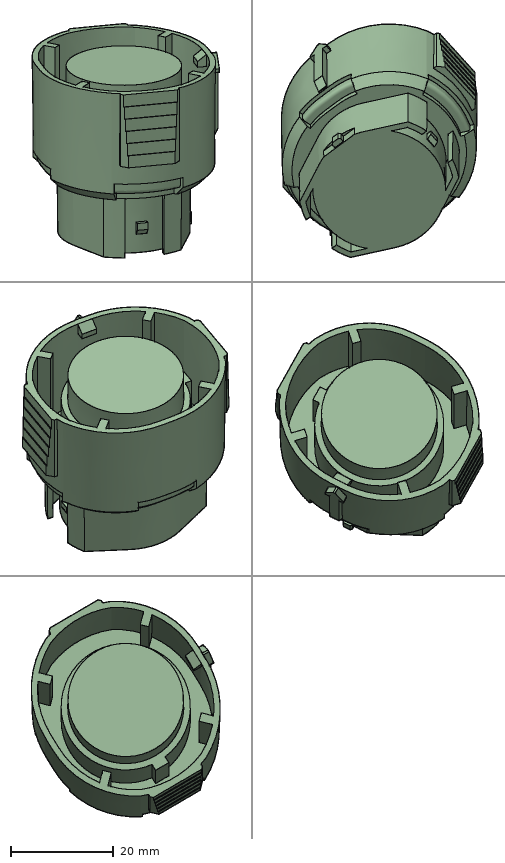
import cadquery as cq
import math

TOTAL_H = 35.7
FLANGE_Z = 12.75
FLOOR_Z = 15.2
DRAFT = 0.5

END_R = 19.7
SIDE_Y = 17.55
FLAT_HALF = 1.55
JOIN_Y = 7.5
JOIN_X = math.sqrt(END_R**2 - JOIN_Y**2)
WALL = 1.25
SKIRT_CHAMFER = 1.95

WINDOW_TOP = 16.73
LIP_Z = 14.3
LIP_INSET = 0.95
RECESS_INSET = 2.85
LIP_ROUND = 0.75
END_WINDOW_HALF = 7.0
END_WINDOW_DIST = 18.13
END_WINDOW_SLOPE = 0.5
SIDE_WINDOW_HALF = 6.55
SIDE_WINDOW_DIST = 16.65
SIDE_WINDOW_SLOPE = 0.25

PAD_BOTTOM = 20.7
PAD_STEPS = 6
PAD_TOP_X = 19.75
PAD_BOTTOM_X = 20.55
PAD_HALF = 5.95
PAD_SHOULDER_X = 19.3
PAD_ROOT_X = 18.1

RIB_INNER_R = 15.05
RIB_OUTER_R = 17.88
RIB_W = 1.73
TUBE_R = 12.65
TUBE_TOP = 27.9
KEY_X = 13.95
KEY_W = 3.0
PLUG_R = 11.4
PLUG_TOP = 34.4
HOOK_W = 3.25
HOOK_Y = 14.55
HOOK_NOSE_TOP = 34.4
HOOK_BOTTOM = 33.2

ARROW_Y = 18.85
ARROW_TIP_Z = 35.3
ARROW_TIP_HALF = 0.2
ARROW_HEAD_HALF = 2.05
ARROW_SHOULDER_Z = 32.6
ARROW_BARB_Z = 31.9
SHAFT_HALF = 1.03
SHAFT_KINK_Z = 19.9
SHAFT_END_Z = 17.4

CORE_R = 13.1
WING_R = 15.9
WING_ANGLE = 25.6
WING_WALL = 1.15
GAP_HALF = 4.0

CATCH_X = 13.95
CATCH_W = 2.15
CATCH_BOTTOM = 3.9
CATCH_KINK = 5.0
CATCH_TOP = 6.45
TAB_Y = 13.55
TAB_W = 2.15
TAB_BOTTOM = 0.4
TAB_TOP = 2.8
TAB_CHAMFER = 0.35
TAB_SEAT_Y = 12.4

EMBED = 0.82
TALL = 82.2


def box_between(x0, x1, y0, y1, z0, z1):
    corner = cq.Workplane("XY", origin=(x0, y0, z0))
    return corner.box(x1 - x0, y1 - y0, z1 - z0, centered=False)


def with_opposite(feature):
    """The feature together with its copy half a turn about the axis."""
    return feature.union(feature.rotate((0, 0, 0), (0, 0, 1), 180))


def cup_outline(inset, z):
    """Oval outline of the cup, moved inward by inset, as a wire at height z."""
    dx = JOIN_X - FLAT_HALF
    dy = SIDE_Y - JOIN_Y
    side_r = (dx**2 + dy**2) / (2 * dy)
    side_centre_y = SIDE_Y - side_r
    half_turn = math.asin(dx / side_r) / 2
    mid_x = FLAT_HALF + side_r * math.sin(half_turn)
    mid_y = side_centre_y + side_r * math.cos(half_turn)
    outline = (
        cq.Workplane("XY", origin=(0, 0, z))
        .moveTo(-FLAT_HALF, SIDE_Y)
        .lineTo(FLAT_HALF, SIDE_Y)
        .threePointArc((mid_x, mid_y), (JOIN_X, JOIN_Y))
        .threePointArc((END_R, 0), (JOIN_X, -JOIN_Y))
        .threePointArc((mid_x, -mid_y), (FLAT_HALF, -SIDE_Y))
        .lineTo(-FLAT_HALF, -SIDE_Y)
        .threePointArc((-mid_x, -mid_y), (-JOIN_X, -JOIN_Y))
        .threePointArc((-END_R, 0), (-JOIN_X, JOIN_Y))
        .threePointArc((-mid_x, mid_y), (-FLAT_HALF, SIDE_Y))
        .close()
    )
    return outline.offset2D(-inset) if inset else outline


def cup_body():
    """Drafted wall with a 45 degree skirt below it."""
    skirt_top = FLANGE_Z + SKIRT_CHAMFER
    wall_h = TOTAL_H - skirt_top
    wall = cup_outline(0, TOTAL_H).extrude(-wall_h, taper=DRAFT)
    drafted_inset = wall_h * math.tan(math.radians(DRAFT))
    skirt = cup_outline(drafted_inset, skirt_top).extrude(-SKIRT_CHAMFER, taper=45)
    return wall.union(skirt)


def cup_cavity():
    return cup_outline(WALL, TOTAL_H).extrude(FLOOR_Z - TOTAL_H, taper=DRAFT)


def window_wedge(half_width, distance, slope):
    """Wedge widening towards +X; half_width is measured at distance from the axis."""
    inner = distance - half_width / slope
    outer = END_R + EMBED
    outer_half = (outer - inner) * slope
    return (
        cq.Workplane("XY", origin=(0, 0, FLANGE_Z))
        .polyline([(inner, 0), (outer, -outer_half), (outer, outer_half)])
        .close()
        .extrude(WINDOW_TOP - FLANGE_Z)
    )


def windows():
    """Material removed from the lower edge of the cup, leaving a rounded lip."""
    end_wedge = window_wedge(END_WINDOW_HALF, END_WINDOW_DIST, END_WINDOW_SLOPE)
    side_wedge = window_wedge(SIDE_WINDOW_HALF, SIDE_WINDOW_DIST, SIDE_WINDOW_SLOPE)
    wedges = with_opposite(end_wedge).union(with_opposite(side_wedge).rotate((0, 0, 0), (0, 0, 1), 90))
    lip = cup_outline(LIP_INSET, LIP_Z).extrude(TOTAL_H - LIP_Z)
    lip = lip.faces("<Z").edges().fillet(LIP_ROUND)
    recess = cup_outline(RECESS_INSET, FLANGE_Z).extrude(TOTAL_H - FLANGE_Z)
    return wedges.cut(lip).cut(recess)


def grip_pad():
    """Pad on +X built from steps that stand out further towards the bottom."""
    step_h = (TOTAL_H - PAD_BOTTOM) / PAD_STEPS
    step_x = (PAD_BOTTOM_X - PAD_TOP_X) / (PAD_STEPS - 1)
    pad = cq.Workplane("XY")
    for i in range(PAD_STEPS):
        face_x = PAD_BOTTOM_X - i * step_x
        face_half = PAD_HALF - (face_x - PAD_SHOULDER_X)
        step = (
            cq.Workplane("XY", origin=(0, 0, PAD_BOTTOM + i * step_h))
            .polyline([
                (PAD_ROOT_X, -PAD_HALF),
                (PAD_SHOULDER_X, -PAD_HALF),
                (face_x, -face_half),
                (face_x, face_half),
                (PAD_SHOULDER_X, PAD_HALF),
                (PAD_ROOT_X, PAD_HALF),
            ])
            .close()
            .extrude(step_h)
        )
        pad = pad.union(step)
    return pad


def inner_ribs():
    ribs = cq.Workplane("XY")
    rib = box_between(RIB_INNER_R, RIB_OUTER_R, -RIB_W / 2, RIB_W / 2, FLOOR_Z, TOTAL_H)
    for angle in (45, 135, 225, 315):
        ribs = ribs.union(rib.rotate((0, 0, 0), (0, 0, 1), angle))
    return ribs


def centre_post():
    """Keyed tube with a round plug standing out of it."""
    base_z = FLOOR_Z - EMBED
    tube = cq.Workplane("XY", origin=(0, 0, base_z)).circle(TUBE_R).extrude(TUBE_TOP - base_z)
    key = box_between(0, KEY_X, -KEY_W / 2, KEY_W / 2, base_z, TUBE_TOP)
    plug = (
        cq.Workplane("XY", origin=(0, 0, TUBE_TOP))
        .circle(PLUG_R)
        .extrude(PLUG_TOP - TUBE_TOP, taper=DRAFT)
    )
    return tube.union(key).union(plug)


def hook():
    """Snap hook under the rim on the inner +Y wall."""
    wall_y = SIDE_Y - WALL
    return (
        cq.Workplane("YZ")
        .polyline([
            (wall_y, TOTAL_H),
            (HOOK_Y, HOOK_NOSE_TOP),
            (HOOK_Y, HOOK_BOTTOM),
            (wall_y + EMBED, HOOK_BOTTOM),
            (wall_y + EMBED, TOTAL_H),
        ])
        .close()
        .extrude(HOOK_W / 2, both=True)
    )


def arrow():
    """Raised upward arrow on the outer +Y wall."""
    half = [
        (ARROW_TIP_HALF, ARROW_TIP_Z),
        (ARROW_HEAD_HALF, ARROW_SHOULDER_Z),
        (ARROW_HEAD_HALF, ARROW_BARB_Z),
        (SHAFT_HALF, ARROW_BARB_Z),
        (SHAFT_HALF, SHAFT_END_Z),
    ]
    mirrored = [(-x, z) for x, z in reversed(half)]
    back_y = SIDE_Y - EMBED
    plate = (
        cq.Workplane("XZ", origin=(0, back_y, 0))
        .polyline(half + mirrored)
        .close()
        .extrude(back_y - ARROW_Y)
    )
    slope_dy = ARROW_Y - SIDE_Y
    slope_dz = SHAFT_KINK_Z - SHAFT_END_Z
    lower_end = (
        cq.Workplane("YZ")
        .polyline([
            (ARROW_Y, SHAFT_KINK_Z),
            (ARROW_Y, SHAFT_END_Z - slope_dz),
            (SIDE_Y - slope_dy, SHAFT_END_Z - slope_dz),
        ])
        .close()
        .extrude(ARROW_HEAD_HALF, both=True)
    )
    return plate.cut(lower_end)


def wing_block(inset):
    """Drafted block with an arc of the core radius on each +-Y side, an arc of the wing radius
    on each +-X side and flats tangent to the core between them, all moved inward by inset."""
    core_r = CORE_R - inset
    wing_r = WING_R - inset
    tangent_angle = math.radians(90 - WING_ANGLE)
    corner_angle = tangent_angle - math.acos(core_r / wing_r)
    tangent_x = core_r * math.cos(tangent_angle)
    tangent_y = core_r * math.sin(tangent_angle)
    corner_x = wing_r * math.cos(corner_angle)
    corner_y = wing_r * math.sin(corner_angle)
    return (
        cq.Workplane("XY", origin=(0, 0, FLANGE_Z))
        .moveTo(-tangent_x, tangent_y)
        .threePointArc((0, core_r), (tangent_x, tangent_y))
        .lineTo(corner_x, corner_y)
        .threePointArc((wing_r, 0), (corner_x, -corner_y))
        .lineTo(tangent_x, -tangent_y)
        .threePointArc((0, -core_r), (-tangent_x, -tangent_y))
        .lineTo(-corner_x, -corner_y)
        .threePointArc((-wing_r, 0), (-corner_x, corner_y))
        .close()
        .extrude(-FLANGE_Z, taper=DRAFT)
    )


def spigot():
    core = cq.Workplane("XY", origin=(0, 0, FLANGE_Z)).circle(CORE_R).extrude(-FLANGE_Z, taper=DRAFT)
    gaps = box_between(-TALL, TALL, -GAP_HALF, GAP_HALF, 0, FLANGE_Z)
    wings = wing_block(0).cut(wing_block(WING_WALL)).cut(gaps)
    root = cq.Workplane("XY", origin=(0, 0, FLANGE_Z)).circle(CORE_R).extrude(EMBED)
    return core.union(wings).union(root)


def side_catch():
    """Catch on +X in the wing opening, sloped on its underside."""
    root_x = CORE_R - EMBED
    slope_x = CORE_R
    return (
        cq.Workplane("XZ")
        .polyline([
            (root_x, CATCH_TOP),
            (CATCH_X, CATCH_TOP),
            (CATCH_X, CATCH_KINK),
            (slope_x, CATCH_BOTTOM),
            (root_x, CATCH_BOTTOM),
        ])
        .close()
        .extrude(CATCH_W / 2, both=True)
    )


def back_tab():
    tab = box_between(-TAB_W / 2, TAB_W / 2, TAB_SEAT_Y - EMBED, TAB_Y, TAB_BOTTOM, TAB_TOP)
    return tab.faces(">Y").edges("|Z").chamfer(TAB_CHAMFER)


def tab_seat():
    return box_between(-TALL, TALL, TAB_SEAT_Y, TALL, 0, TAB_TOP)


result = cup_body().cut(cup_cavity())
result = result.union(with_opposite(grip_pad()).cut(cup_cavity()))
result = result.cut(windows())
result = result.union(inner_ribs()).union(centre_post()).union(hook()).union(arrow())
result = result.union(spigot().cut(tab_seat()))
result = result.union(with_opposite(side_catch())).union(back_tab())